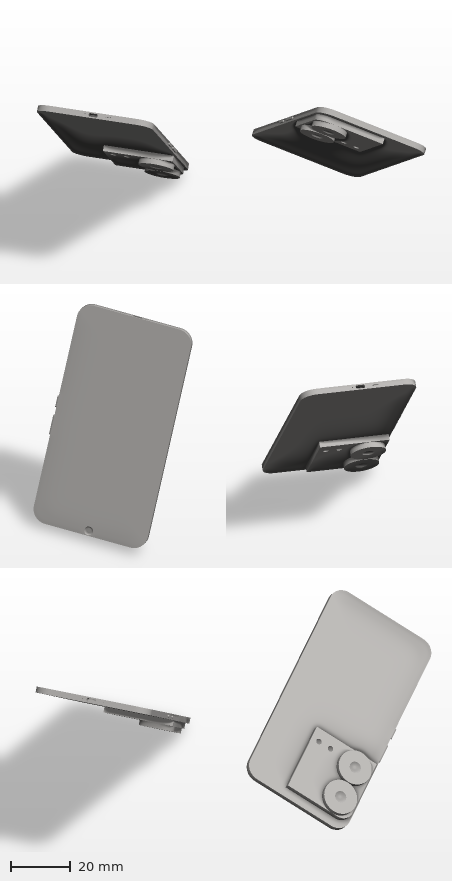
import cadquery as cq
import math

TILT_ABOUT_X = 134.7
TILT_ABOUT_Y = 0.3
TURN_ABOUT_Z = 2.7

WIDTH = 39.9
LENGTH = 77.9
THICKNESS = 2.0
CORNER_RADIUS = 5.0

PLATE_WIDTH = 24.0
PLATE_LENGTH = 24.5
PLATE_THICKNESS = 2.0
PLATE_SIDE_MARGIN = 0.85
PLATE_END_MARGIN = 3.15
PLATE_CORNER_RADIUS = CORNER_RADIUS - PLATE_SIDE_MARGIN
PLATE_X = WIDTH / 2 - PLATE_SIDE_MARGIN - PLATE_WIDTH / 2
PLATE_Y = -LENGTH / 2 + PLATE_END_MARGIN + PLATE_LENGTH / 2
PLATE_RIGHT = PLATE_X + PLATE_WIDTH / 2
PLATE_LEFT = PLATE_X - PLATE_WIDTH / 2
PLATE_TOP = PLATE_Y + PLATE_LENGTH / 2

LENS_RADIUS = 6.0
LENS_HEIGHT = 1.8
LENS_GAP = 0.3
LENS_PITCH = 2 * LENS_RADIUS + LENS_GAP
LENS_SIDE_MARGIN = 0.5
LENS_TOP_MARGIN = 0.3
LENS_X = PLATE_RIGHT - LENS_SIDE_MARGIN - LENS_RADIUS
LENS_TOP_Y = PLATE_TOP - LENS_TOP_MARGIN - LENS_RADIUS
LENS_CENTERS = [(LENS_X, LENS_TOP_Y - i * LENS_PITCH) for i in range(2)]
LENS_DIMPLE_RADIUS = 2.0
LENS_DIMPLE_FLOOR_RADIUS = 0.4
LENS_DIMPLE_DEPTH = 0.65

FLASH_RADIUS = 1.0
FLASH_PITCH = 4.6
FLASH_LEFT_MARGIN = 2.9
FLASH_TOP_MARGIN = 4.4
FLASH_CENTERS = [
    (PLATE_LEFT + FLASH_LEFT_MARGIN + i * FLASH_PITCH, PLATE_TOP - FLASH_TOP_MARGIN) for i in range(2)
]

SELFIE_RADIUS = 1.5
SELFIE_FLOOR_RADIUS = 0.65
SELFIE_DEPTH = 0.5
SELFIE_END_MARGIN = 1.7
SELFIE_Y = -LENGTH / 2 + SELFIE_END_MARGIN

PORT_WIDTH = 3.2
PORT_HEIGHT = 1.15
PORT_DEPTH = 2.9
SPEAKER_X = 5.2
SPEAKER_WIDTH = 2.1
SPEAKER_HEIGHT = 0.3
SPEAKER_DEPTH = 0.6
MICROPHONE_X = -2.75
MICROPHONE_RADIUS = 0.25
MICROPHONE_DEPTH = 0.6

BUTTONS = [(3.15, 4.15), (-5.2, 7.0)]
BUTTON_PROUD = 0.5
BUTTON_HEIGHT = 0.8


def dimple(radius, floor_radius, depth):
    """Round cutter, sinking from Z = 0 along a circular arc to a flat floor."""
    middle = (floor_radius + (radius - floor_radius) * math.sqrt(0.5), -depth * math.sqrt(0.5))
    return (
        cq.Workplane("YZ")
        .lineTo(radius, 0)
        .threePointArc(middle, (floor_radius, -depth))
        .lineTo(0, -depth)
        .close()
        .revolve(360, (0, 0, 0), (0, 1, 0))
    )


def end_opening(x, width, height, depth):
    """Slot cutter with round ends, entering the housing from the port end."""
    return (
        cq.Workplane("XZ", origin=(x, LENGTH / 2, -THICKNESS / 2))
        .slot2D(width, height)
        .extrude(depth)
    )


def make_housing():
    housing = (
        cq.Workplane("XY")
        .rect(WIDTH, LENGTH)
        .extrude(-THICKNESS)
        .edges("|Z")
        .fillet(CORNER_RADIUS)
    )
    selfie = (
        dimple(SELFIE_RADIUS, SELFIE_FLOOR_RADIUS, SELFIE_DEPTH)
        .rotate((0, 0, 0), (1, 0, 0), 180)
        .translate((0, SELFIE_Y, -THICKNESS))
    )
    microphone = (
        cq.Workplane("XZ", origin=(MICROPHONE_X, LENGTH / 2, -THICKNESS / 2))
        .circle(MICROPHONE_RADIUS)
        .extrude(MICROPHONE_DEPTH)
    )
    return (
        housing.cut(selfie)
        .cut(end_opening(0, PORT_WIDTH, PORT_HEIGHT, PORT_DEPTH))
        .cut(end_opening(SPEAKER_X, SPEAKER_WIDTH, SPEAKER_HEIGHT, SPEAKER_DEPTH))
        .cut(microphone)
    )


def make_camera_plate():
    plate = (
        cq.Workplane("XY")
        .center(PLATE_X, PLATE_Y)
        .rect(PLATE_WIDTH, PLATE_LENGTH)
        .extrude(PLATE_THICKNESS)
        .edges("|Z and >X and <Y")
        .fillet(PLATE_CORNER_RADIUS)
    )
    for x, y in FLASH_CENTERS:
        plate = plate.cut(cq.Workplane("XY", origin=(x, y, PLATE_THICKNESS)).sphere(FLASH_RADIUS))
    return plate


def make_lens(x, y):
    ring = cq.Workplane("XY").circle(LENS_RADIUS).extrude(LENS_HEIGHT)
    hollow = dimple(LENS_DIMPLE_RADIUS, LENS_DIMPLE_FLOOR_RADIUS, LENS_DIMPLE_DEPTH)
    return ring.cut(hollow.translate((0, 0, LENS_HEIGHT))).translate((x, y, PLATE_THICKNESS))


def make_button(y, length):
    return (
        cq.Workplane("YZ", origin=(WIDTH / 2, y, -THICKNESS / 2))
        .slot2D(length, BUTTON_HEIGHT)
        .extrude(BUTTON_PROUD)
    )


def place(body):
    """Turn a body from the phone's own axes to its final attitude."""
    origin = (0, 0, 0)
    return (
        body.rotate(origin, (1, 0, 0), TILT_ABOUT_X)
        .rotate(origin, (0, 1, 0), TILT_ABOUT_Y)
        .rotate(origin, (0, 0, 1), TURN_ABOUT_Z)
    )


housing = place(make_housing())
camera_plate = place(make_camera_plate())
lenses = [place(make_lens(x, y)) for x, y in LENS_CENTERS]
buttons = [place(make_button(y, length)) for y, length in BUTTONS]

result = cq.Compound.makeCompound(
    [housing.val(), camera_plate.val()]
    + [lens.val() for lens in lenses]
    + [button.val() for button in buttons]
)